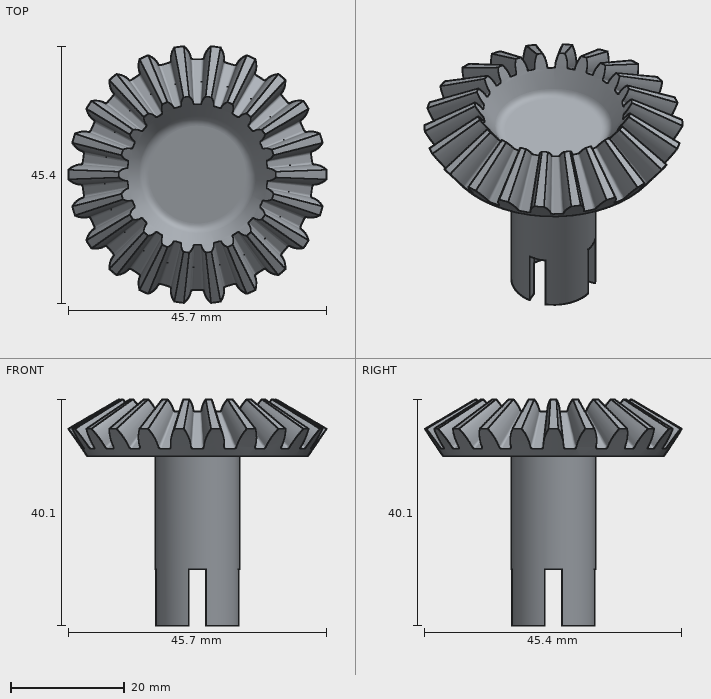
import cadquery as cq
import math

tooth_count = 22
mating_tooth_count = 15
apex_height = 18.2
tip_radius = 22.85
addendum = 1.87
dedendum = 2.4
gear_height = 10.1

gap_root_half_width = 1.15
gap_pitch_half_width = 1.55
gap_tip_half_width = 2.45
gap_root_fillet = 0.45
gap_clearance = 0.9

cutter_near_scale = 0.5
cutter_far_scale = 1.1

dish_floor_height = 3.98
dish_fillet = 2.0

shaft_radius = 7.5
shaft_length = 30.0
bore_radius = 5.5
slot_width = 3.0
slot_depth = 10.0

pitch_angle = math.atan2(tooth_count, mating_tooth_count)
pitch_radius = tip_radius - addendum * math.cos(pitch_angle)
pitch_height = apex_height - pitch_radius / math.tan(pitch_angle)
tooth_step = 360 / tooth_count


def make_blank():
    """Untoothed gear: large end cone, tip cone and dish, revolved about Z."""
    back_radius = pitch_radius - pitch_height / math.tan(pitch_angle)
    tip_height = pitch_height + addendum * math.sin(pitch_angle)
    rim_radius = tip_radius * (apex_height - gear_height) / (apex_height - tip_height)

    wall_foot_height = dish_floor_height + dish_fillet * (1 - math.cos(pitch_angle))
    wall_foot_radius = rim_radius - (gear_height - wall_foot_height) / math.tan(pitch_angle)
    floor_radius = wall_foot_radius - dish_fillet * math.sin(pitch_angle)
    fillet_middle = (
        floor_radius + dish_fillet * math.sin(pitch_angle / 2),
        dish_floor_height + dish_fillet * (1 - math.cos(pitch_angle / 2)),
    )
    return (
        cq.Workplane("XZ")
        .lineTo(back_radius, 0)
        .lineTo(tip_radius, tip_height)
        .lineTo(rim_radius, gear_height)
        .lineTo(wall_foot_radius, wall_foot_height)
        .threePointArc(fillet_middle, (floor_radius, dish_floor_height))
        .lineTo(0, dish_floor_height)
        .close()
        .revolve(360, (0, 0, 0), (0, 1, 0))
    )


def gap_section(scale):
    """Gap outline across the X direction, square to the pitch cone, scaled towards the apex."""
    section_plane = cq.Plane(
        origin=(scale * pitch_radius, 0, apex_height + scale * (pitch_height - apex_height)),
        xDir=(0, 1, 0),
        normal=(math.sin(pitch_angle), 0, -math.cos(pitch_angle)),
    )

    def at(half_width, height):
        return (scale * half_width, scale * height)

    root_corner = gap_root_half_width - gap_root_fillet
    flank_foot = gap_root_fillet - dedendum
    top = addendum + gap_clearance
    radius = scale * gap_root_fillet
    return (
        cq.Workplane(section_plane)
        .moveTo(*at(-root_corner, -dedendum))
        .lineTo(*at(root_corner, -dedendum))
        .radiusArc(at(gap_root_half_width, flank_foot), -radius)
        .threePointArc(at(gap_pitch_half_width, 0), at(gap_tip_half_width, addendum))
        .lineTo(*at(gap_tip_half_width, top))
        .lineTo(*at(-gap_tip_half_width, top))
        .lineTo(*at(-gap_tip_half_width, addendum))
        .threePointArc(at(-gap_pitch_half_width, 0), at(-gap_root_half_width, flank_foot))
        .radiusArc(at(-root_corner, -dedendum), -radius)
        .close()
        .val()
    )


def make_gap_cutter():
    """Straight-sided cutter, tapering to the apex, for one tooth gap centred on the X axis."""
    sections = [gap_section(cutter_far_scale), gap_section(cutter_near_scale)]
    return cq.Workplane(cq.Solid.makeLoft(sections, True))


def cut_teeth(blank):
    """Cut all gaps, the first one half a step away from the X axis."""
    cutter = make_gap_cutter()
    gear = blank
    for index in range(tooth_count):
        turn = (index + 0.5) * tooth_step
        gear = gear.cut(cutter.rotate((0, 0, 0), (0, 0, 1), turn))
    return gear


def make_shaft():
    """Shaft hanging from the gear, bored and cross-slotted from its free end."""
    shaft = cq.Workplane("XY").circle(shaft_radius).extrude(-shaft_length)
    end_plane = cq.Workplane("XY").workplane(offset=-shaft_length)
    bore = end_plane.circle(bore_radius).extrude(slot_depth)
    slot = end_plane.rect(2 * shaft_radius, slot_width).extrude(slot_depth)
    cross_slot = slot.rotate((0, 0, 0), (0, 0, 1), 90)
    return shaft.cut(bore).cut(slot).cut(cross_slot)


result = cut_teeth(make_blank()).union(make_shaft())